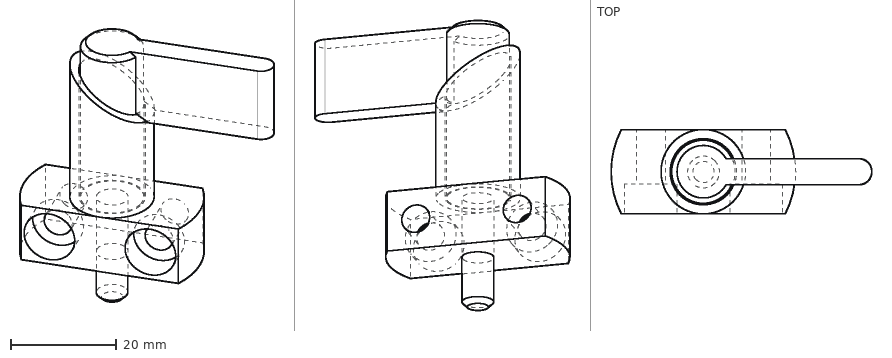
import cadquery as cq
import math

base_length = 35.0
base_depth = 16.0
base_height = 12.0

hole_spacing = 20.0
hole_diameter = 5.5
counterbore_diameter = 10.0
counterbore_depth = 5.7

sleeve_radius = base_depth / 2
sleeve_low_height = 19.0
slope_angle = 33
slope_rise = 2 * sleeve_radius * math.tan(math.radians(slope_angle))
sleeve_low_z = base_height + sleeve_low_height
sleeve_high_z = sleeve_low_z + slope_rise

total_height = 56
shank_radius = 6.0
bore_clearance = 0.3
pin_radius = 3.0
pin_reach = 10.0
edge_chamfer = 1.0
top_z = total_height - pin_reach
lever_width = 5.0
lever_tip_x = 32.005


def sleeve_envelope():
    """Full sleeve cross-section up to its sloping top, standing on the base."""
    side_profile = (
        cq.Workplane("XZ")
        .polyline([
            (-sleeve_radius, base_height),
            (sleeve_radius, base_height),
            (sleeve_radius, sleeve_low_z),
            (-sleeve_radius, sleeve_high_z),
        ])
        .close()
        .extrude(sleeve_radius, both=True)
    )
    cylinder = cq.Workplane("XY").circle(sleeve_radius).extrude(sleeve_high_z)
    return cylinder.intersect(side_profile)


def make_housing():
    """Base with round ends and sleeve, bored for the plunger."""
    base = cq.Workplane("XY").circle(base_length / 2).extrude(base_height)
    base = base.intersect(
        cq.Workplane("XY").rect(base_length, base_depth).extrude(base_height)
    )
    base = (
        base.faces("<Y")
        .workplane(origin=(0, -base_depth / 2, base_height / 2))
        .pushPoints([(-hole_spacing / 2, 0), (hole_spacing / 2, 0)])
        .cboreHole(hole_diameter, counterbore_diameter, counterbore_depth)
    )
    shank_bore = (
        cq.Workplane("XY")
        .workplane(offset=base_height)
        .circle(shank_radius + bore_clearance)
        .extrude(sleeve_high_z - base_height)
    )
    pin_hole = cq.Workplane("XY").circle(pin_radius).extrude(base_height)
    return base.union(sleeve_envelope()).cut(shank_bore).cut(pin_hole)


def make_lever():
    """Flat lever with a round tip, its underside resting on the sleeve slope."""
    straight_length = lever_tip_x - lever_width / 2
    lever_height = top_z - sleeve_low_z
    bar = (
        cq.Workplane("XY")
        .workplane(offset=sleeve_low_z)
        .center(straight_length / 2, 0)
        .rect(straight_length, lever_width)
        .extrude(lever_height)
    )
    tip = (
        cq.Workplane("XY")
        .workplane(offset=sleeve_low_z)
        .center(straight_length, 0)
        .circle(lever_width / 2)
        .extrude(lever_height)
    )
    return bar.union(tip).cut(sleeve_envelope())


def make_plunger():
    """Chamfered pin and shank in one piece with the lever."""
    pin = (
        cq.Workplane("XY")
        .workplane(offset=-pin_reach)
        .circle(pin_radius)
        .extrude(pin_reach + base_height)
        .faces("<Z")
        .chamfer(edge_chamfer)
    )
    shank = (
        cq.Workplane("XY")
        .workplane(offset=base_height)
        .circle(shank_radius)
        .extrude(top_z - base_height)
        .faces(">Z")
        .chamfer(edge_chamfer)
    )
    return pin.union(shank).union(make_lever())


housing = make_housing()
plunger = make_plunger()

result = cq.Compound.makeCompound([housing.val(), plunger.val()])